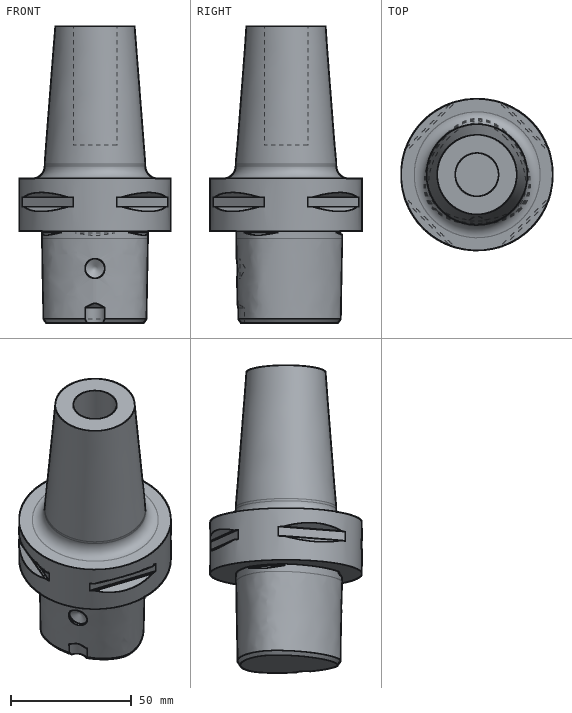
import cadquery as cq
import math

total_height = 123.0
flange_radius = 31.5
flange_bottom = 38.1
flange_top = 59.9

nose_top_radius = 16.5
nose_base_radius = 20.9
nose_base_height = 66.0
nose_fillet = 5.2
bore_radius = 9.0
bore_depth = 49.2

shank_top_radius = 22.0
shank_end_radius = 21.4
lobe_height = 1.4
taper_top = 35.0
end_chamfer_height = 1.7
end_chamfer_width = 1.2
outline_points = 48

relief_radius = 22.3
relief_bottom = 36.3
relief_slope = 1.2

slot_center_height = 50.2
slot_floor_distance = 27.7
slot_slope_start = 28.7
slot_floor_half_width = 2.0
slot_mouth_half_width = 3.9

dimple_height = 22.6
dimple_radius = 4.0
dimple_wall_depth = 1.5
mouth_clearance = 0.2
dimple_tip_depth = 2.3
notch_radius = 4.4
notch_axis_offset = 1.6
notch_shoulder_height = 6.4
notch_tip_height = 9.1


def lobed_outline(mean_radius, z):
    """Closed constant-width curve with lobes at +Y and 120 degrees either side.

    The distance from the axis to each tangent line varies as a cosine of three times the angle.
    """
    points = []
    for i in range(outline_points):
        angle = 2 * math.pi * i / outline_points
        lobe_angle = 3 * (angle - math.pi / 2)
        support = mean_radius + lobe_height * math.cos(lobe_angle)
        slope = -3 * lobe_height * math.sin(lobe_angle)
        x = support * math.cos(angle) - slope * math.sin(angle)
        y = support * math.sin(angle) + slope * math.cos(angle)
        points.append(cq.Vector(x, y, z))
    return cq.Wire.assembleEdges([cq.Edge.makeSpline(points, periodic=True)])


def shank_section(lower_radius, lower_z, upper_radius, upper_z):
    outlines = [lobed_outline(lower_radius, lower_z), lobed_outline(upper_radius, upper_z)]
    return cq.Workplane(obj=cq.Solid.makeLoft(outlines, True))


def make_shank():
    end = shank_section(shank_end_radius - end_chamfer_width, 0, shank_end_radius, end_chamfer_height)
    taper = shank_section(shank_end_radius, end_chamfer_height, shank_top_radius, taper_top)
    neck = shank_section(shank_top_radius, taper_top, shank_top_radius, flange_bottom)
    relief = (
        cq.Workplane("XZ")
        .moveTo(relief_radius, flange_bottom)
        .lineTo(relief_radius, relief_bottom + relief_slope)
        .lineTo(relief_radius + relief_slope, relief_bottom)
        .lineTo(flange_radius, relief_bottom)
        .lineTo(flange_radius, flange_bottom)
        .close()
        .revolve(360, (0, 0, 0), (0, 1, 0))
    )
    return end.union(taper).union(neck.cut(relief))


def make_flange_and_nose():
    fillet_top = flange_top + nose_fillet
    arc_center_radius = nose_base_radius + nose_fillet
    arc_middle_offset = nose_fillet * math.sqrt(0.5)
    return (
        cq.Workplane("XZ")
        .moveTo(0, flange_bottom)
        .lineTo(flange_radius, flange_bottom)
        .lineTo(flange_radius, flange_top)
        .lineTo(arc_center_radius, flange_top)
        .threePointArc(
            (arc_center_radius - arc_middle_offset, fillet_top - arc_middle_offset),
            (nose_base_radius, fillet_top),
        )
        .lineTo(nose_base_radius, nose_base_height)
        .lineTo(nose_top_radius, total_height)
        .lineTo(0, total_height)
        .close()
        .revolve(360, (0, 0, 0), (0, 1, 0))
    )


def make_bore():
    bore_floor = total_height - bore_depth
    return cq.Workplane("XY").workplane(offset=bore_floor).circle(bore_radius).extrude(bore_depth)


def make_gripper_slot(angle):
    return (
        cq.Workplane("XZ")
        .moveTo(slot_floor_distance, slot_center_height - slot_floor_half_width)
        .lineTo(slot_slope_start, slot_center_height - slot_floor_half_width)
        .lineTo(flange_radius, slot_center_height - slot_mouth_half_width)
        .lineTo(flange_radius, slot_center_height + slot_mouth_half_width)
        .lineTo(slot_slope_start, slot_center_height + slot_floor_half_width)
        .lineTo(slot_floor_distance, slot_center_height + slot_floor_half_width)
        .close()
        .extrude(flange_radius, both=True)
        .rotate((0, 0, 0), (0, 0, 1), angle)
    )


dimple_position = (dimple_height - end_chamfer_height) / (taper_top - end_chamfer_height)
dimple_mean_radius = shank_end_radius + dimple_position * (shank_top_radius - shank_end_radius)
dimple_mouth_y = lobe_height - dimple_mean_radius - mouth_clearance
notch_axis_y = lobe_height - shank_end_radius - notch_axis_offset


def make_dimple():
    wall_end_y = dimple_mouth_y + dimple_wall_depth
    return (
        cq.Workplane("XY")
        .moveTo(0, dimple_mouth_y)
        .lineTo(dimple_radius, dimple_mouth_y)
        .lineTo(dimple_radius, wall_end_y)
        .lineTo(0, wall_end_y + dimple_tip_depth)
        .close()
        .revolve(360, (0, 0, 0), (0, 1, 0))
        .translate((0, 0, dimple_height))
    )


def make_notch():
    return (
        cq.Workplane("XZ")
        .lineTo(notch_radius, 0)
        .lineTo(notch_radius, notch_shoulder_height)
        .lineTo(0, notch_tip_height)
        .close()
        .revolve(360, (0, 0, 0), (0, 1, 0))
        .translate((0, notch_axis_y, 0))
    )


result = make_flange_and_nose().union(make_shank()).cut(make_bore())
for slot_angle in (45, 135, 225, 315):
    result = result.cut(make_gripper_slot(slot_angle))
result = result.cut(make_dimple()).cut(make_notch())